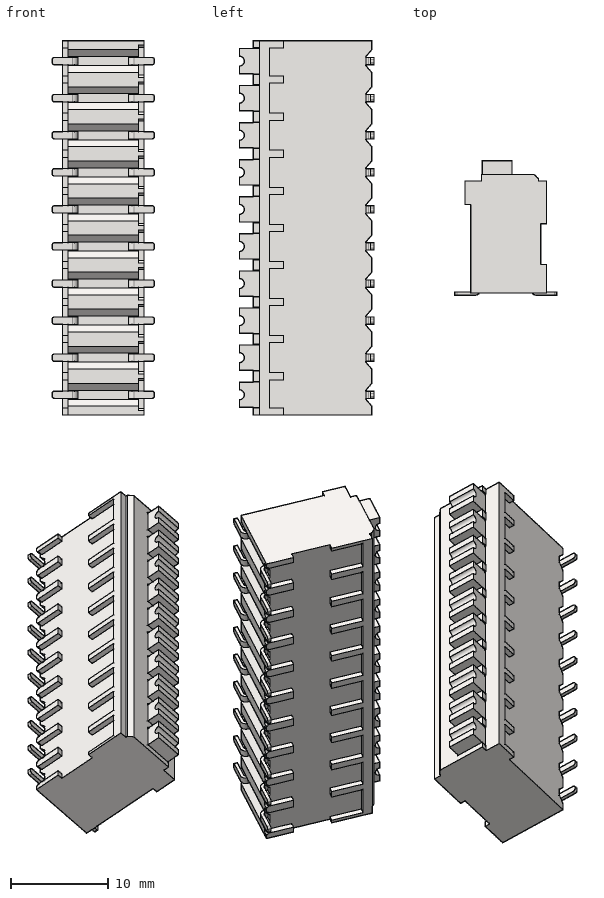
import cadquery as cq


POLES = 10
PITCH = 3.8
HEIGHT = 38.5
POLE_CENTRES = [(i - (POLES - 1) / 2) * PITCH for i in range(POLES)]
WALL_CENTRES = [(i - POLES / 2) * PITCH for i in range(1, POLES)]

CORE_HALF_WIDTH = 3.6
SIDE_RELIEF = 0.58
OUTER_HALF_WIDTH = CORE_HALF_WIDTH + SIDE_RELIEF
SOLDER_FACE_Y = -6.7
SHOULDER_Y = 4.85
HEAD_Y = 5.5
HEAD_LEFT_X = -2.5
HEAD_RIGHT_X = 3.4
HEAD_CHAMFER = 0.45

FLANGE_BOTTOM_Y = 3.85
LEFT_TAB_BOTTOM_Y = 2.4
LEFT_TAB_THICKNESS = 0.75
RIGHT_TAB_BOTTOM_Y = 0.42
RIGHT_TAB_THICKNESS = 0.77
FOOT_TOP_Y = -3.75
FOOT_THICKNESS = 0.92
END_FOOT_THICKNESS = 0.7
FOOT_CHAMFER = 0.25

GROOVE_DEPTH = 0.6
GROOVE_FLOOR = 0.92
GROOVE_MOUTH = 2.35

LEVER_LEFT_X = -2.42
LEVER_RIGHT_X = 0.65
LEVER_TIP_Y = 6.93
LEVER_HEIGHT = 2.6
LEVER_NOTCH_RADIUS = 0.5
LEVER_CLEARANCE = 0.08

LEAD_TIP_X = 5.255
LEAD_INNER_X = 2.58
LEAD_THICKNESS = 0.365
LEAD_WIDTH = 0.77
LEAD_BOTTOM_Y = -6.93
LEAD_BEND_RADIUS = 0.58
LEAD_TIP_RADIUS = 0.25
LEAD_EMBED = 0.4


def block(x0, x1, y0, y1, z_centre, z_size):
    """Box between two X and two Y limits, centred on a Z level."""
    return (
        cq.Workplane("XY")
        .box(x1 - x0, y1 - y0, z_size)
        .translate(((x0 + x1) / 2, (y0 + y1) / 2, z_centre))
    )


def wall_tabs(x0, x1, y0, y1, thickness, end_thickness):
    """Tabs on every wall between poles, plus one flush with each end face."""
    end_centre = (HEIGHT - end_thickness) / 2
    tabs = block(x0, x1, y0, y1, -end_centre, end_thickness)
    tabs = tabs.union(block(x0, x1, y0, y1, end_centre, end_thickness))
    for z in WALL_CENTRES:
        tabs = tabs.union(block(x0, x1, y0, y1, z, thickness))
    return tabs


def feet(x0, x1):
    """Feet level with the solder face, chamfered where they face a groove."""
    end_centre = (END_FOOT_THICKNESS - HEIGHT) / 2
    end_foot = block(x0, x1, SOLDER_FACE_Y, FOOT_TOP_Y, end_centre, END_FOOT_THICKNESS)
    end_foot = end_foot.edges("<Y and >Z").chamfer(FOOT_CHAMFER)
    all_feet = end_foot.union(end_foot.mirror("XY"))
    for z in WALL_CENTRES:
        foot = block(x0, x1, SOLDER_FACE_Y, FOOT_TOP_Y, z, FOOT_THICKNESS)
        all_feet = all_feet.union(foot.edges("|X and <Y").chamfer(FOOT_CHAMFER))
    return all_feet


def housing():
    core = block(-CORE_HALF_WIDTH, CORE_HALF_WIDTH, SOLDER_FACE_Y, SHOULDER_Y, 0, HEIGHT)
    flanges = block(-OUTER_HALF_WIDTH, OUTER_HALF_WIDTH, FLANGE_BOTTOM_Y, SHOULDER_Y, 0, HEIGHT)
    head = block(HEAD_LEFT_X, HEAD_RIGHT_X, FLANGE_BOTTOM_Y, HEAD_Y, 0, HEIGHT)
    head = head.edges(">X and >Y").chamfer(HEAD_CHAMFER)
    body = core.union(flanges).union(head)

    left = (-OUTER_HALF_WIDTH, -CORE_HALF_WIDTH)
    right = (CORE_HALF_WIDTH, OUTER_HALF_WIDTH)
    left_tabs = wall_tabs(
        *left, LEFT_TAB_BOTTOM_Y, FLANGE_BOTTOM_Y, LEFT_TAB_THICKNESS, LEFT_TAB_THICKNESS
    )
    right_tabs = wall_tabs(
        *right, RIGHT_TAB_BOTTOM_Y, FLANGE_BOTTOM_Y, RIGHT_TAB_THICKNESS, RIGHT_TAB_THICKNESS / 2
    )
    return body.union(left_tabs).union(right_tabs).union(feet(*right))


def solder_groove(z):
    """Trapezoidal groove across the solder face of the core."""
    floor_y = SOLDER_FACE_Y + GROOVE_DEPTH
    return (
        cq.Workplane("YZ", origin=(-CORE_HALF_WIDTH, 0, z))
        .polyline([
            (SOLDER_FACE_Y, -GROOVE_MOUTH / 2),
            (floor_y, -GROOVE_FLOOR / 2),
            (floor_y, GROOVE_FLOOR / 2),
            (SOLDER_FACE_Y, GROOVE_MOUTH / 2),
        ])
        .close()
        .extrude(2 * CORE_HALF_WIDTH)
    )


def lever_slot(z):
    """Clearance pocket around a lever, open towards -X."""
    return block(
        HEAD_LEFT_X, LEVER_RIGHT_X + LEVER_CLEARANCE,
        SHOULDER_Y, HEAD_Y,
        z, LEVER_HEIGHT + 2 * LEVER_CLEARANCE,
    )


def lever(z):
    """Lever with a half-round notch across its tip."""
    bar = block(LEVER_LEFT_X, LEVER_RIGHT_X, FLANGE_BOTTOM_Y, LEVER_TIP_Y, z, LEVER_HEIGHT)
    notch = (
        cq.Workplane("YZ", origin=(LEVER_LEFT_X, LEVER_TIP_Y, z))
        .circle(LEVER_NOTCH_RADIUS)
        .extrude(LEVER_RIGHT_X - LEVER_LEFT_X)
    )
    return bar.cut(notch)


def right_lead(z):
    """L-shaped lead: a flat foot towards +X, bent up into the housing."""
    top_y = SOLDER_FACE_Y + GROOVE_DEPTH + LEAD_EMBED
    foot_top_y = LEAD_BOTTOM_Y + LEAD_THICKNESS
    outer_x = LEAD_INNER_X + LEAD_THICKNESS
    bend_x = LEAD_INNER_X + LEAD_BEND_RADIUS
    bend_y = LEAD_BOTTOM_Y + LEAD_BEND_RADIUS
    inner_radius = LEAD_BEND_RADIUS - LEAD_THICKNESS
    lead = (
        cq.Workplane("XY", origin=(0, 0, z - LEAD_WIDTH / 2))
        .moveTo(LEAD_INNER_X, top_y)
        .lineTo(LEAD_INNER_X, bend_y)
        .radiusArc((bend_x, LEAD_BOTTOM_Y), -LEAD_BEND_RADIUS)
        .lineTo(LEAD_TIP_X, LEAD_BOTTOM_Y)
        .lineTo(LEAD_TIP_X, foot_top_y)
        .lineTo(bend_x, foot_top_y)
        .radiusArc((outer_x, bend_y), inner_radius)
        .lineTo(outer_x, top_y)
        .close()
        .extrude(LEAD_WIDTH)
    )
    return lead.faces(">X").edges("|Y").fillet(LEAD_TIP_RADIUS)


result = housing()
for z in POLE_CENTRES:
    result = result.cut(solder_groove(z)).cut(lever_slot(z))
for z in POLE_CENTRES:
    lead = right_lead(z)
    result = result.union(lever(z)).union(lead).union(lead.mirror("YZ"))